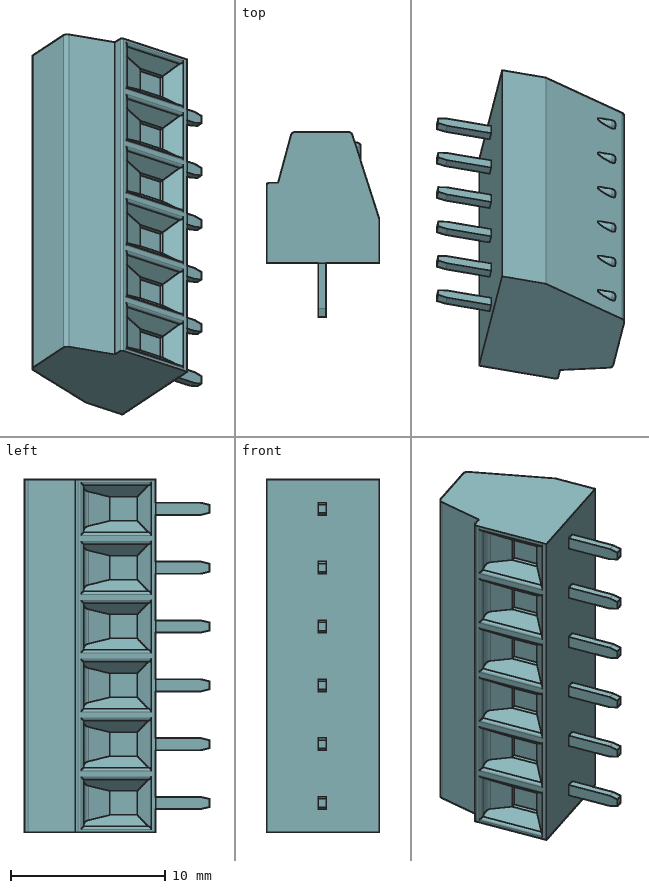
import cadquery as cq
import math


POLES = 6
HEIGHT = 22.85
WIDTH = 7.3
LENGTH = 12.0
PIN_LENGTH = 3.5
BODY_DEPTH = LENGTH - PIN_LENGTH
PITCH = HEIGHT / POLES

STEP_Y = 5.21
STEP_WIDTH = 0.73
STEP_RADIUS = 0.15
CROWN_START = 1.62
CROWN_END = 5.49
CROWN_RADIUS = 0.32
BACK_SLOPE_Y = 2.88

MOUTH_BOTTOM = 0.3
MOUTH_TOP = 4.66
MOUTH_HEIGHT = 3.05
MOUTH_DEPTH = 0.2
LIP_RADIUS = 0.195
FUNNEL_DEPTH = 1.05
FUNNEL_ROOF_ANGLE = 15.6
FUNNEL_ROOF_RADIUS = 0.41
HOLE_BOTTOM = 1.2
HOLE_TOP = 2.97
HOLE_HEIGHT = 1.55
HOLE_DEPTH = 0.3

PIN_X = 3.6
PIN_THICKNESS = 0.5
PIN_HEIGHT = 0.8
PIN_TIP_LENGTH = 0.57
PIN_TIP_HEIGHT = 0.53

NUB_RADIUS = 0.37
NUB_X = 5.74
NUB_BOTTOM = 5.72
NUB_TOP = 7.82
NUB_TIP_RADIUS = 0.3


def make_housing():
    """Extrude the stepped, tapered outline over the full height."""
    outline = [
        (0, 0),
        (WIDTH, 0),
        (WIDTH, BACK_SLOPE_Y),
        (CROWN_END, BODY_DEPTH),
        (CROWN_START, BODY_DEPTH),
        (STEP_WIDTH, STEP_Y),
        (0, STEP_Y),
    ]
    housing = cq.Workplane("XY").polyline(outline).close().extrude(HEIGHT)
    housing = housing.edges("|Z and >Y").fillet(CROWN_RADIUS)
    shoulder = cq.selectors.NearestToPointSelector((0, STEP_Y, HEIGHT / 2))
    return housing.edges(shoulder).fillet(STEP_RADIUS)


def make_mouth():
    """Funnel with a rounded roof and a straight hole behind it, centred on Z = 0."""
    back_run = MOUTH_TOP - HOLE_TOP
    roof_x = FUNNEL_DEPTH - back_run * math.tan(math.radians(FUNNEL_ROOF_ANGLE))
    side_profile = [
        (0, MOUTH_BOTTOM),
        (FUNNEL_DEPTH, HOLE_BOTTOM),
        (FUNNEL_DEPTH, HOLE_TOP),
        (roof_x, MOUTH_TOP),
        (0, MOUTH_TOP),
    ]
    funnel = (
        cq.Workplane("XY")
        .polyline(side_profile)
        .close()
        .extrude(MOUTH_HEIGHT / 2, both=True)
    )
    roof = cq.selectors.NearestToPointSelector((roof_x, MOUTH_TOP, 0))
    funnel = funnel.edges(roof).fillet(FUNNEL_ROOF_RADIUS)

    taper_profile = [
        (0, -MOUTH_HEIGHT / 2),
        (MOUTH_DEPTH, -MOUTH_HEIGHT / 2),
        (FUNNEL_DEPTH, -HOLE_HEIGHT / 2),
        (FUNNEL_DEPTH, HOLE_HEIGHT / 2),
        (MOUTH_DEPTH, MOUTH_HEIGHT / 2),
        (0, MOUTH_HEIGHT / 2),
    ]
    taper = cq.Workplane("XZ").polyline(taper_profile).close().extrude(-BODY_DEPTH)
    hole = cq.Workplane("XY").box(
        FUNNEL_DEPTH + HOLE_DEPTH, HOLE_TOP - HOLE_BOTTOM, HOLE_HEIGHT,
        centered=(False, False, True),
    ).translate((0, HOLE_BOTTOM, 0))
    return funnel.intersect(taper).union(hole)


def round_lip(body, pole_z):
    """Round the upper and both side edges of one mouth on the -X face."""
    mouth_middle = (MOUTH_BOTTOM + MOUTH_TOP) / 2
    lip_middles = [
        (0, MOUTH_TOP, pole_z),
        (0, mouth_middle, pole_z - MOUTH_HEIGHT / 2),
        (0, mouth_middle, pole_z + MOUTH_HEIGHT / 2),
    ]
    lip = body.newObject(
        [
            body.edges(cq.selectors.NearestToPointSelector(point)).val()
            for point in lip_middles
        ]
    )
    return lip.fillet(LIP_RADIUS)


def make_pin():
    """Flat pin tapered at its free end, centred on Z = 0."""
    profile = [
        (0, -PIN_HEIGHT / 2),
        (PIN_TIP_LENGTH - PIN_LENGTH, -PIN_HEIGHT / 2),
        (-PIN_LENGTH, -PIN_TIP_HEIGHT / 2),
        (-PIN_LENGTH, PIN_TIP_HEIGHT / 2),
        (PIN_TIP_LENGTH - PIN_LENGTH, PIN_HEIGHT / 2),
        (0, PIN_HEIGHT / 2),
    ]
    pin = cq.Workplane("YZ").polyline(profile).close()
    return pin.extrude(PIN_THICKNESS / 2, both=True).translate((PIN_X, 0, 0))


def make_nub():
    """Round nub along Y with a rounded +Y end, centred on Z = 0."""
    nub = cq.Workplane("XZ").circle(NUB_RADIUS).extrude(NUB_BOTTOM - NUB_TOP)
    nub = nub.faces(">Y").edges().fillet(NUB_TIP_RADIUS)
    return nub.translate((NUB_X, NUB_BOTTOM, 0))


result = make_housing()
mouth = make_mouth()
pin = make_pin()
nub = make_nub()

for pole in range(POLES):
    pole_z = (pole + 0.5) * PITCH
    result = result.cut(mouth.translate((0, 0, pole_z)))
    result = round_lip(result, pole_z)
    result = result.union(pin.translate((0, 0, pole_z)))
    result = result.union(nub.translate((0, 0, pole_z)))